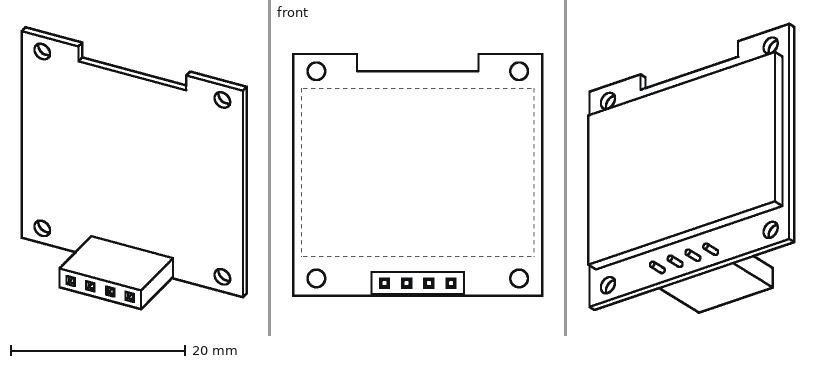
import cadquery as cq

board_width = 28.6
board_height = 27.8
board_thickness = 1.0

notch_width = 13.93
notch_depth = 2.0

hole_diameter = 2.0
hole_side_inset = 2.65
hole_edge_inset = 2.0

display_width = 26.7
display_height = 19.28
display_thickness = 1.5
display_top_inset = 3.98

pin_count = 4
pin_pitch = 2.55
header_width = 10.58
header_height = 2.55
header_length = 8.0
header_bottom_inset = 0.2
header_center_z = header_bottom_inset + header_height / 2

socket_mouth = 1.1
socket_bore = 0.7
socket_taper = (socket_mouth - socket_bore) / 2
pin_diameter = 0.65
pin_length = 2.0

pin_positions = [(i - (pin_count - 1) / 2) * pin_pitch for i in range(pin_count)]


def block(width, thickness, height, front_y, bottom_z):
    """Box centred on X, reaching back from front_y and up from bottom_z."""
    box = cq.Workplane("XY").box(width, thickness, height, centered=(True, False, False))
    return box.translate((0, front_y, bottom_z))


def make_board():
    board = block(board_width, board_thickness, board_height, 0, 0)
    notch = block(notch_width, board_thickness, notch_depth, 0, board_height - notch_depth)
    hole_x = board_width / 2 - hole_side_inset
    hole_points = [
        (x, z)
        for x in (-hole_x, hole_x)
        for z in (hole_edge_inset, board_height - hole_edge_inset)
    ]
    holes = (
        cq.Workplane("XZ")
        .pushPoints(hole_points)
        .circle(hole_diameter / 2)
        .extrude(-board_thickness)
    )
    return board.cut(notch).cut(holes)


def make_display():
    bottom_z = board_height - display_top_inset - display_height
    return block(display_width, display_thickness, display_height, board_thickness, bottom_z)


def make_socket(x):
    """Square bore reaching back to the board, with a 45 degree lead-in at the front."""
    lead_in = (
        cq.Workplane("XZ", origin=(x, -header_length, header_center_z))
        .rect(socket_mouth, socket_mouth)
        .workplane(offset=-socket_taper)
        .rect(socket_bore, socket_bore)
        .loft(ruled=True)
    )
    bore_bottom = header_center_z - socket_bore / 2
    bore = block(socket_bore, header_length, socket_bore, -header_length, bore_bottom)
    return lead_in.union(bore.translate((x, 0, 0)))


def make_header():
    header = block(header_width, header_length, header_height, -header_length, header_bottom_inset)
    for x in pin_positions:
        header = header.cut(make_socket(x))
    return header


def make_pins():
    return (
        cq.Workplane("XZ", origin=(0, board_thickness, header_center_z))
        .pushPoints([(x, 0) for x in pin_positions])
        .circle(pin_diameter / 2)
        .extrude(-pin_length)
    )


result = make_board().union(make_display()).union(make_header()).union(make_pins())